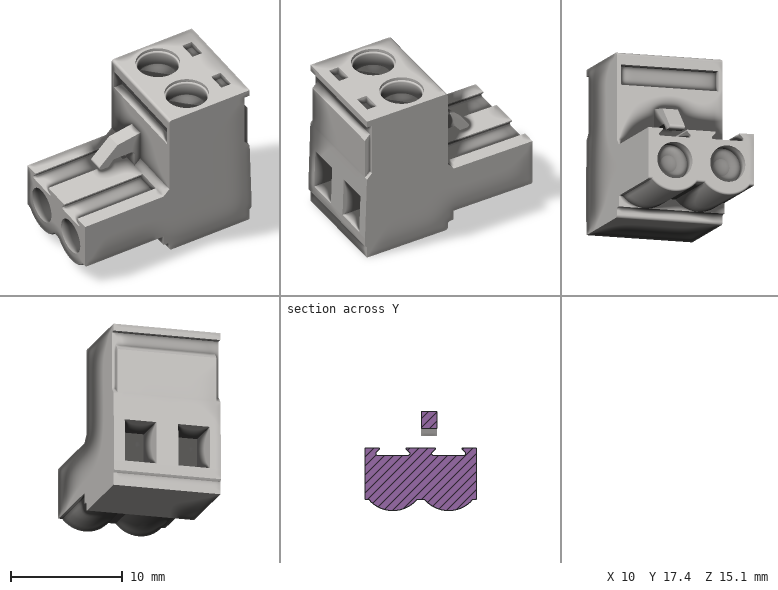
import cadquery as cq
import math


pitch = 5.0
pole_count = 2
width = pitch * pole_count
height = 15.1
body_front = 8.8
body_back = 17.2
pole_centers = [(i - (pole_count - 1) / 2) * pitch for i in range(pole_count)]

edge_radius = 0.25
bulge_y = 17.4
bulge_top = 8.65
bulge_full = 2.2
bulge_bottom = 1.35
bulge_step_bottom = 1.15

recess_y = 16.67
recess_top = 14.45
recess_bottom = 9.2
pad_top = 13.3
pad_slope = 0.55
pad_side_gap = 0.37

plug_top = 6.55
plug_bottom = 0.88
plug_side_bottom = 1.87
plug_root_y = 8.2
plug_edge_radius = 0.17
root_chamfer = body_front - plug_root_y
joint_y = body_front + 1.0

socket_z = 3.7
socket_radius = 1.66
socket_straight_depth = 1.5
socket_end_radius = 0.77
socket_tip_angle = 140
shell_radius = socket_z - plug_bottom

groove_depth = 0.7
groove_mouth_half = 1.15
groove_lip = 0.12
groove_half = 1.5
groove_flank_end = 0.48
groove_corner = 0.1

latch_width = 1.45
latch_center_x = -0.75
latch_root_z = 10.13
latch_bend = (6.43, 9.72)
latch_tip = (4.25, 7.62)
latch_tip_radius = 0.2
latch_hook_foot = (5.45, 7.56)
latch_hook_root = (6.0, 8.23)
latch_inner_radius = 0.37

label_length = 9.2
label_bottom = 12.15
label_top = 14.0
label_depth = 0.85

screw_y = 12.13
well_radius = 2.0
well_straight_depth = 0.3
screw_radius = 1.85
well_lip_radius = well_radius - screw_radius
screw_top = height - 1.52
screw_chamfer_width = 0.2
screw_chamfer_height = 0.12
slot_width = 0.8
slot_depth = 0.63
slot_angle = 45

probe_y = 15.72
probe_size_x = 1.8
probe_size_y = 1.0
probe_depth = 0.57
probe_low_depth = 0.75
probe_ledge_y = 15.87
probe_draft = 7

wire_entry_width = 2.95
wire_entry_bottom = 2.3
wire_entry_top = 6.2
wire_entry_depth = 4.0


def side_prism(outline, length, center_x=0.0):
    """Extrude a closed (y, z) outline along X, centred on center_x."""
    plane = cq.Workplane("YZ", origin=(center_x - length / 2, 0, 0))
    return plane.polyline(outline).close().extrude(length)


def make_body():
    outline = [
        (body_front, 0),
        (body_back, 0),
        (body_back, bulge_step_bottom),
        (bulge_y, bulge_bottom),
        (bulge_y, bulge_full),
        (body_back, bulge_top),
        (recess_y, recess_bottom),
        (recess_y, recess_top),
        (body_back, recess_top),
        (body_back, height),
        (body_front, height),
    ]
    body = side_prism(outline, width)
    body = body.edges("|X and <Y").fillet(edge_radius)
    pad = [
        (recess_y, bulge_top),
        (body_back, bulge_top),
        (body_back, pad_top - pad_slope),
        (recess_y, pad_top),
    ]
    return body.union(side_prism(pad, width - 2 * pad_side_gap))


def make_plug():
    """Rectangular plug with a round shell bulging below each contact socket."""
    plug = (
        cq.Workplane("XY", origin=(0, 0, plug_side_bottom))
        .box(width, body_front, plug_top - plug_side_bottom, centered=(True, False, False))
    )
    plug = plug.edges("<Y and <Z").fillet(plug_edge_radius)
    shell_half = math.sqrt(shell_radius**2 - (socket_z - plug_side_bottom) ** 2)
    for x in pole_centers:
        shell = (
            cq.Workplane("XZ")
            .moveTo(x - shell_half, socket_z)
            .lineTo(x - shell_half, plug_side_bottom)
            .threePointArc((x, plug_bottom), (x + shell_half, plug_side_bottom))
            .lineTo(x + shell_half, socket_z)
            .close()
            .extrude(-body_front)
        )
        shell = shell.edges("%CIRCLE and <Y").fillet(plug_edge_radius)
        plug = plug.union(shell)
    return plug


def make_root():
    """Full-width block joining plug and body, chamfered on top and filleted underneath."""
    block = [
        (plug_root_y, plug_bottom),
        (joint_y, plug_bottom),
        (joint_y, plug_top + root_chamfer),
        (body_front, plug_top + root_chamfer),
        (plug_root_y, plug_top),
    ]
    fillet = (
        cq.Workplane("YZ", origin=(-width / 2, 0, 0))
        .moveTo(body_front, plug_bottom)
        .lineTo(body_front - edge_radius, plug_bottom)
        .radiusArc((body_front, plug_bottom - edge_radius), edge_radius)
        .close()
        .extrude(width)
    )
    return side_prism(block, width).union(fillet)


def make_latch():
    inner_z = latch_hook_root[1]
    return (
        cq.Workplane("YZ", origin=(latch_center_x - latch_width / 2, 0, 0))
        .moveTo(body_front, latch_root_z)
        .lineTo(*latch_bend)
        .lineTo(*latch_tip)
        .lineTo(*latch_hook_foot)
        .lineTo(*latch_hook_root)
        .lineTo(plug_root_y - latch_inner_radius, inner_z)
        .radiusArc((plug_root_y, inner_z - latch_inner_radius), latch_inner_radius)
        .lineTo(plug_root_y, plug_top)
        .lineTo(joint_y, plug_top)
        .lineTo(joint_y, latch_root_z)
        .close()
        .extrude(latch_width)
        .edges("|X and <Y")
        .fillet(latch_tip_radius)
    )


def make_socket(x):
    """Straight bore narrowing in a cone to a flat end."""
    cone_depth = (socket_radius - socket_end_radius) / math.tan(math.radians(socket_tip_angle / 2))
    cone_end = socket_straight_depth + cone_depth
    profile = [
        (0, 0),
        (socket_radius, 0),
        (socket_radius, socket_straight_depth),
        (socket_end_radius, cone_end),
        (0, cone_end),
    ]
    bore = cq.Workplane("XY").polyline(profile).close().revolve(360, (0, 0), (0, 1))
    return bore.translate((x, 0, socket_z))


def make_groove(x):
    right_side = [
        (groove_mouth_half, 0),
        (groove_mouth_half, -groove_lip),
        (groove_half, -groove_flank_end),
        (groove_half, -groove_depth + groove_corner),
        (groove_half - groove_corner, -groove_depth),
    ]
    left_side = [(-px, pz) for px, pz in reversed(right_side)]
    return (
        cq.Workplane("XZ", origin=(x, 0, plug_top))
        .polyline(right_side + left_side)
        .close()
        .extrude(-plug_root_y)
    )


def make_label_slot():
    return (
        cq.Workplane("XY", origin=(0, body_front, label_bottom))
        .box(label_length, label_depth, label_top - label_bottom, centered=(True, False, False))
    )


def make_screw_well(x):
    """Round well with a rounded lip, the ring around the screw chamfer and the driver slot."""
    ledge_z = height - well_straight_depth
    well = (
        cq.Workplane("XZ")
        .moveTo(0, height)
        .lineTo(well_radius, height)
        .lineTo(well_radius, ledge_z)
        .radiusArc((screw_radius, ledge_z - well_lip_radius), -well_lip_radius)
        .lineTo(screw_radius, screw_top - screw_chamfer_height)
        .lineTo(screw_radius - screw_chamfer_width, screw_top)
        .lineTo(0, screw_top)
        .close()
        .revolve(360, (0, 0), (0, 1))
    )
    slot = (
        cq.Workplane("XY", origin=(0, 0, screw_top - slot_depth))
        .rect(2 * well_radius, slot_width)
        .extrude(slot_depth)
        .rotate((0, 0, 0), (0, 0, 1), slot_angle)
    )
    slot_limit = (
        cq.Workplane("XY", origin=(0, 0, screw_top - slot_depth))
        .circle(screw_radius)
        .extrude(slot_depth)
    )
    return well.union(slot.intersect(slot_limit)).translate((x, screw_y, 0))


def make_probe_pocket(x):
    """Pocket drafted on three sides; its floor is level at the back and slopes down to the front."""
    front = probe_y - probe_size_y / 2
    back = probe_y + probe_size_y / 2
    drafted = (
        cq.Workplane("XY", origin=(x, back, height))
        .rect(probe_size_x, 2 * probe_size_y)
        .extrude(-probe_low_depth, taper=probe_draft)
    )
    floor_outline = [
        (front, height),
        (front, height - probe_low_depth),
        (probe_ledge_y, height - probe_depth),
        (back, height - probe_depth),
        (back, height),
    ]
    return drafted.intersect(side_prism(floor_outline, probe_size_x, x))


def make_wire_entry(x):
    entry_height = wire_entry_top - wire_entry_bottom
    return (
        cq.Workplane("XY", origin=(x, bulge_y - wire_entry_depth, wire_entry_bottom))
        .box(wire_entry_width, wire_entry_depth, entry_height, centered=(True, False, False))
    )


result = make_body().union(make_plug()).union(make_root())
result = result.cut(make_label_slot())
for pole_x in pole_centers:
    result = result.cut(make_groove(pole_x))
    result = result.cut(make_socket(pole_x))
    result = result.cut(make_screw_well(pole_x))
    result = result.cut(make_probe_pocket(pole_x))
    result = result.cut(make_wire_entry(pole_x))
result = result.union(make_latch())